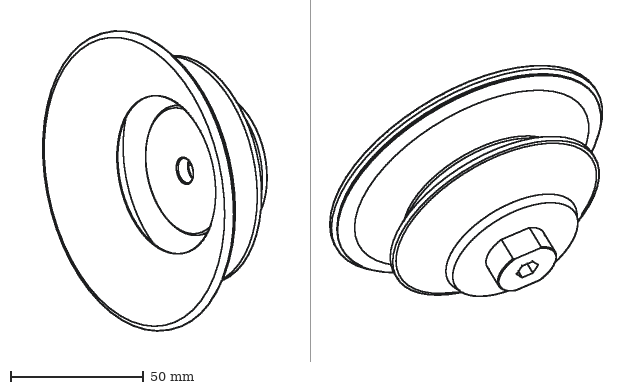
import cadquery as cq
import math


cup_radius = 57.5
total_length = 53.0

lip_face_radius = 56.6
lip_face_y = 0.3
lip_mouth_radius = 55.4
lip_edge_bottom = 1.5
lip_edge_top = 2.6
groove_radius = 55.4
groove_y = 3.3
bead_radius = 55.9
bead_bottom = 4.0
bead_top = 4.6
bead_crown_radius = 54.6
bead_crown_y = 5.8
bead_shoulder_radius = 52.7
bead_back_y = 6.5

skirt_radius = 49.7
waist_radius = 33.5
waist_bottom = 15.2
waist_top = 16.3
ridge_radius = 43.8
ridge_bottom = 24.7
ridge_top = 26.8
ridge_shoulder_radius = 42.5
ridge_shoulder_y = 27.0

collar_base_radius = 27.8
collar_base_y = 39.7
collar_radius = 26.9
collar_edge_y = 41.9
back_face_radius = 26.6
back_face_y = 42.9

throat_radius = 30.4
throat_bottom = 15.3
throat_top = 15.8
cavity_radius = 40.2
cavity_y = 26.0
hub_radius = 25.0
hub_face_y = 24.2
hub_chamfer = 0.8
hub_root_fillet = 2.0

stem_diameter = 25.0
stem_flats = 22.0
stem_chamfer = 0.3

bore_diameter = 9.4
bore_depth = 5.1
bore_chamfer = 0.5
hex_across_flats = 7.9


def bellows_body():
    """Revolve the rubber bellows together with the flat hub that fills its centre."""
    back_slope = (collar_base_y - ridge_shoulder_y) / (ridge_shoulder_radius - collar_base_radius)
    back_angle = math.atan(back_slope)

    fillet_center_radius = hub_radius + hub_root_fillet
    wall_tangent_radius = fillet_center_radius + hub_root_fillet * math.sin(back_angle)
    wall_tangent_y = cavity_y + back_slope * (cavity_radius - wall_tangent_radius)
    fillet_center_y = wall_tangent_y - hub_root_fillet * math.cos(back_angle)
    hub_side_angle = math.pi
    wall_side_angle = math.pi / 2 - back_angle
    middle_angle = (hub_side_angle + wall_side_angle) / 2
    fillet_middle = (
        fillet_center_radius + hub_root_fillet * math.cos(middle_angle),
        fillet_center_y + hub_root_fillet * math.sin(middle_angle),
    )

    profile = (
        cq.Workplane("XY")
        .moveTo(0, hub_face_y)
        .lineTo(0, back_face_y)
        .lineTo(back_face_radius, back_face_y)
        .lineTo(collar_radius, collar_edge_y)
        .lineTo(collar_base_radius, collar_base_y)
        .lineTo(ridge_shoulder_radius, ridge_shoulder_y)
        .lineTo(ridge_radius, ridge_top)
        .lineTo(ridge_radius, ridge_bottom)
        .lineTo(waist_radius, waist_top)
        .lineTo(waist_radius, waist_bottom)
        .lineTo(skirt_radius, bead_back_y)
        .lineTo(bead_shoulder_radius, bead_back_y)
        .threePointArc((bead_crown_radius, bead_crown_y), (bead_radius, bead_top))
        .lineTo(bead_radius, bead_bottom)
        .lineTo(groove_radius, groove_y)
        .lineTo(cup_radius, lip_edge_top)
        .lineTo(cup_radius, lip_edge_bottom)
        .tangentArcPoint((lip_face_radius, lip_face_y), relative=False)
        .lineTo(lip_mouth_radius, 0)
        .lineTo(throat_radius, throat_bottom)
        .lineTo(throat_radius, throat_top)
        .lineTo(cavity_radius, cavity_y)
        .lineTo(wall_tangent_radius, wall_tangent_y)
        .threePointArc(fillet_middle, (hub_radius, fillet_center_y))
        .lineTo(hub_radius, hub_face_y + hub_chamfer)
        .lineTo(hub_radius - hub_chamfer, hub_face_y)
        .close()
    )
    return profile.revolve(360, (0, 0, 0), (0, 1, 0))


def stem():
    """Round stem with two flats and a lightly chamfered end, standing on the back face."""
    round_stem = (
        cq.Workplane("XZ", origin=(0, back_face_y, 0))
        .circle(stem_diameter / 2)
        .extrude(back_face_y - total_length)
        .faces(">Y")
        .chamfer(stem_chamfer)
    )
    flats = cq.Workplane("XY").box(stem_diameter, 2 * total_length, stem_flats)
    return round_stem.intersect(flats)


def passage():
    """Chamfered round bore in the hub face, continued by a hexagon through the stem."""
    bore_radius = bore_diameter / 2
    bore = (
        cq.Workplane("XY")
        .moveTo(0, hub_face_y)
        .lineTo(bore_radius + bore_chamfer, hub_face_y)
        .lineTo(bore_radius, hub_face_y + bore_chamfer)
        .lineTo(bore_radius, hub_face_y + bore_depth)
        .lineTo(0, hub_face_y + bore_depth)
        .close()
        .revolve(360, (0, 0, 0), (0, 1, 0))
    )
    hexagon_corners = hex_across_flats / math.cos(math.radians(30))
    hexagon = (
        cq.Workplane("XZ", origin=(0, hub_face_y, 0))
        .polygon(6, hexagon_corners)
        .extrude(hub_face_y - total_length)
    )
    return bore.union(hexagon)


result = bellows_body().union(stem()).cut(passage())